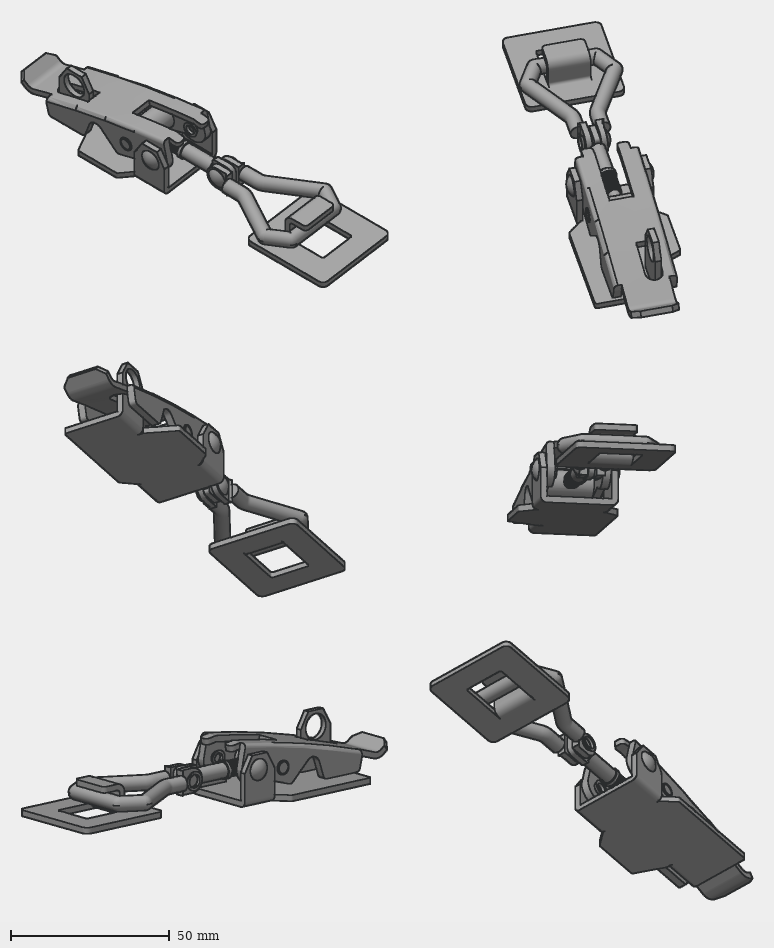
import cadquery as cq
import math


sheet = 2.0
fold_radius = 1.9
pivot_x, pivot_z = 60.4, 11.5
bolt_x, bolt_z = 48.1, 9.7

base_left = 16.0
base_half_width = 16.0
base_corner = 0.8
ear_half_width = 6.3
ear_bevel_angle = math.radians(60)
bracket_x = 60.0
bracket_shoulder_z = 11.1
bracket_left = bracket_x - ear_half_width
bracket_right = bracket_x + ear_half_width
bracket_outer = 12.5
bracket_inner = bracket_outer - sheet
taper_start = 49.5
taper_half_width = 11.1
lug_x = base_left + ear_half_width
lug_shoulder_z = 15.9
lug_right = lug_x + ear_half_width
lug_outer = -5.5
lug_inner = lug_outer + sheet
lug_hole_radius = 4.2
notch_end = 33.2

handle_half_width = 10.3
deck_half_width = 7.7
wall_left = 15.0
wall_bottom = 2.9
wall_corner = (16.0, wall_bottom)
wall_corner_radius = 1.4
wall_foot = (30.9, wall_bottom)
arch_apex = (34.4, 13.5)
wall_belly = (44.7, 3.7)
foot_radius = 1.6
arch_radius = 3.0
belly_radius = 1.6
wall_end_radius = 5.3
wall_end_angle = math.radians(-128)
edge_round = 1.4
deck_radius = 305.8
deck_centre_x, deck_centre_z = 103.2, -283.3
deck_right = 63.9
tip_x, tip_z = 1.2, 10.2
tip_bend_x = 6.0
tip_bend_radius = 2.7
tip_corner = 2.6
tab_x, tab_z = 67.7, 19.5
tab_corner = 1.4
bolt_slot_left = 45.4
bolt_slot_width = 7.9
lug_slot_radius = 2.9
lug_slot_x = 17.4
lug_slot_y = -3.3

pivot_shank_radius = 2.0
pivot_head_radius = 3.5
head_height = 1.6
tail_rim = 1.0
pivot_tail_radius = 2.6
pivot_tail_length = 1.2

barrel_radius = 4.5
journal_radius = 2.3
journal_half_length = 10.5
journal_chamfer = 0.4

rod_radius = 2.6
nose_radius = 2.0
nose_end = 55.2
thread_end = 63.1
thread_pitch = 0.8
thread_depth = 0.4
collar_end = 64.4
collar_radius = 3.0
eye_height = 8.2
clevis_x = 80.3
eye_left = clevis_x - eye_height / 2
eye_right = clevis_x + eye_height / 2
eye_left_corner = 1.0
eye_right_corner = 2.3

wire_radius = 2.51
leg_inner = 1.5
leg_outer = leg_inner + sheet
wire_start = 85.1
wire_y = leg_inner + wire_radius
flare = 0.7
flare_length = 1.0
yoke_half_width = 16.7
arm_start = 91.1
arm_bend = 4.5
arm_angle = math.radians(30)
bar_x = 117.2

clevis_shank_radius = 2.0
clevis_head_radius = 3.4
clevis_tail_radius = 3.1
clevis_tail_length = 1.1

catch_left, catch_right = 103.5, 135.9
catch_half_width = 16.0
catch_corner = 2.0
catch_bottom = 4.1
hook_half_width = 7.0
hook_left = 111.9
hook_tip = 120.6
hook_top = 15.1
bend_inner = 1.1
bend_outer = bend_inner + sheet
hook_corner = 1.4
window_right = 127.8
window_corner = 0.7


def box(x0, x1, y0, y1, z0, z1):
    """Block between two opposite corners."""
    return cq.Workplane("XY").box(x1 - x0, y1 - y0, z1 - z0, centered=False).translate((x0, y0, z0))


def rod_along_y(x, z, radius, y0, y1):
    """Cylinder parallel to Y."""
    return cq.Workplane("XZ", origin=(x, y0, z)).circle(radius).extrude(y0 - y1)


def rod_along_x(radius, x0, x1):
    """Cylinder on the bolt centre line."""
    return cq.Workplane("YZ", origin=(x0, 0, bolt_z)).circle(radius).extrude(x1 - x0)


def slab(outline, y0, y1):
    """Closed XZ outline pulled from y0 to y1."""
    return outline.extrude(y0 - y1).translate((0, y0, 0))


def ear(x, shoulder_z, y0, y1):
    """Upright flange with a bevelled top; its bottom stands on Z = 0."""
    flat = ear_half_width / 2
    top_z = shoulder_z + flat * math.tan(ear_bevel_angle)
    outline = (
        cq.Workplane("XZ")
        .moveTo(x - ear_half_width, 0)
        .lineTo(x - ear_half_width, shoulder_z)
        .lineTo(x - flat, top_z)
        .lineTo(x + flat, top_z)
        .lineTo(x + ear_half_width, shoulder_z)
        .lineTo(x + ear_half_width, 0)
        .close()
    )
    return slab(outline, y0, y1)


def edge_band(y):
    """Opposite corners of a thin box round the base edge that lies at y."""
    return (base_left - 1.4, y - 1.4, -1.4), (bracket_right, y + 1.4, sheet + 1.4)


def make_base():
    half_plate = [(base_left, base_half_width), (taper_start, base_half_width)]
    half_plate += [(bracket_left, taper_half_width), (bracket_left, bracket_inner), (bracket_right, bracket_inner)]
    other_half = [(x, -y) for x, y in reversed(half_plate[1:])]
    notch = [(notch_end, -base_half_width), (lug_right, lug_outer), (lug_right, lug_inner), (base_left, lug_inner)]
    plate = cq.Workplane("XY").polyline(half_plate + other_half + notch).close().extrude(sheet)
    outer_corners = cq.selectors.SumSelector(
        cq.selectors.BoxSelector(*edge_band(-base_half_width)),
        cq.selectors.BoxSelector(*edge_band(base_half_width)),
    )
    plate = plate.edges("|Z").edges(outer_corners).fillet(base_corner)

    lug = ear(lug_x, lug_shoulder_z, lug_outer, lug_inner)
    lug = lug.faces("<Z").edges("<Y").fillet(fold_radius)
    lug = lug.cut(rod_along_y(lug_x, lug_shoulder_z, lug_hole_radius, lug_outer, lug_inner))
    base = plate.union(lug)

    bracket = ear(bracket_x, bracket_shoulder_z, bracket_inner, bracket_outer)
    bracket = bracket.faces("<Z").edges(">Y").fillet(fold_radius)
    bracket = bracket.cut(rod_along_y(pivot_x, pivot_z, pivot_shank_radius, bracket_inner, bracket_outer))
    return base.union(bracket).union(bracket.mirror("XZ"))


def deck_point(x, depth=0.0):
    """Point of the deck arc at x, or of the concentric arc that lies deeper in the sheet."""
    radius = deck_radius - depth
    return x, deck_centre_z + math.sqrt(radius**2 - (deck_centre_x - x) ** 2)


def deck_slope(x):
    return math.asin((deck_centre_x - x) / deck_radius)


def angle_between(start, end):
    return math.atan2(end[1] - start[1], end[0] - start[0])


def below(point, angle_in, angle_out):
    """Point of the sheet's underside below a point of its top, where the slope may change."""
    mean = (angle_in + angle_out) / 2
    depth = sheet / math.cos((angle_out - angle_in) / 2)
    return point[0] + depth * math.sin(mean), point[1] - depth * math.cos(mean)


def make_deck():
    """Curved top of the handle with its turned-up tip and the tabs at its other end."""
    tip, tab = (tip_x, tip_z), (tab_x, tab_z)
    tip_bend, deck_end = deck_point(tip_bend_x), deck_point(deck_right)
    middle_x = (tip_bend_x + deck_right) / 2
    tip_angle = angle_between(tip, tip_bend)
    tab_angle = angle_between(deck_end, tab)
    lower_bend = below(tip_bend, tip_angle, deck_slope(tip_bend_x))
    lower_end = below(deck_end, deck_slope(deck_right), tab_angle)
    outline = (
        cq.Workplane("XZ")
        .moveTo(*tip)
        .lineTo(*tip_bend)
        .threePointArc(deck_point(middle_x), deck_end)
        .lineTo(*tab)
        .lineTo(*below(tab, tab_angle, tab_angle))
        .lineTo(*lower_end)
        .threePointArc(deck_point(middle_x, sheet), lower_bend)
        .lineTo(*below(tip, tip_angle, tip_angle))
        .close()
    )
    deck = slab(outline, -deck_half_width, deck_half_width)
    deck = deck.edges(nearest(tip_bend, 0)).fillet(tip_bend_radius)
    deck = deck.edges(nearest(lower_bend, 0)).fillet(tip_bend_radius + sheet)
    tip_corners = cut_corner(*tip, tip_angle)
    return deck.cut(tip_corners).cut(tip_corners.mirror("XZ"))


def nearest(point, y):
    """Picks the edge whose middle lies closest to an XZ point at the given y."""
    return cq.selectors.NearestToPointSelector((point[0], y, point[1]))


def cut_corner(x, z, angle):
    """Triangular prism that bevels the +Y corner of the tip, square to the sloping sheet."""
    plane = cq.Plane(
        origin=(x, deck_half_width, z),
        xDir=(math.cos(angle), 0, math.sin(angle)),
        normal=(-math.sin(angle), 0, math.cos(angle)),
    )
    triangle = [(0, 0), (tip_corner, 0), (0, -tip_corner)]
    return cq.Workplane(plane).polyline(triangle).close().extrude(2 * sheet, both=True)


def wall_end_point(angle):
    """Point on the arc of the wall end, at an angle from +X round the pivot."""
    return pivot_x + wall_end_radius * math.cos(angle), pivot_z + wall_end_radius * math.sin(angle)


def make_wall():
    """Side wall on the +Y side, rounded along its top edge."""
    top_middle = deck_point((wall_left + deck_right) / 2)
    outline = (
        cq.Workplane("XZ")
        .moveTo(*deck_point(wall_left))
        .threePointArc(top_middle, deck_point(deck_right))
        .lineTo(*wall_end_point(0))
        .threePointArc(wall_end_point(wall_end_angle / 2), wall_end_point(wall_end_angle))
        .lineTo(*wall_belly)
        .lineTo(*arch_apex)
        .lineTo(*wall_foot)
        .lineTo(*wall_corner)
        .lineTo(*deck_point(wall_left, sheet))
        .close()
    )
    wall = slab(outline, deck_half_width, handle_half_width)
    roundings = [
        (arch_apex, arch_radius),
        (wall_belly, belly_radius),
        (wall_foot, foot_radius),
        (wall_corner, wall_corner_radius),
    ]
    for corner, radius in roundings:
        wall = wall.edges("|Y").edges(nearest(corner, deck_half_width)).fillet(radius)
    return wall.edges(nearest(top_middle, handle_half_width)).fillet(edge_round)


def make_handle():
    wall = make_wall()
    handle = make_deck().union(wall).union(wall.mirror("XZ"))
    bolt_slot = box(0, tab_x, -bolt_slot_width / 2, bolt_slot_width / 2, -2 * sheet, 4 * sheet)
    bolt_slot = bolt_slot.rotate((0, 0, 0), (0, 1, 0), -math.degrees(deck_slope(bolt_slot_left)))
    slot_x, slot_z = deck_point(bolt_slot_left)
    bolt_slot = bolt_slot.translate((slot_x, 0, slot_z))
    lug_slot = (
        cq.Workplane("XY")
        .moveTo(lug_right, lug_slot_y + lug_slot_radius)
        .lineTo(lug_slot_x, lug_slot_y + lug_slot_radius)
        .threePointArc((lug_slot_x - lug_slot_radius, lug_slot_y), (lug_slot_x, lug_slot_y - lug_slot_radius))
        .lineTo(lug_right, lug_slot_y - lug_slot_radius)
        .close()
        .extrude(tab_z)
    )
    handle = handle.cut(bolt_slot).cut(lug_slot)
    tab_ends = cq.selectors.BoxSelector(
        (tab_x - sheet / 2, -handle_half_width, 0),
        (tab_x + sheet / 2, handle_half_width, tab_z + sheet),
    )
    handle = handle.edges(tab_ends).edges("not |Y").fillet(tab_corner)
    pivot_hole = rod_along_y(pivot_x, pivot_z, pivot_shank_radius, -handle_half_width, handle_half_width)
    bolt_hole = rod_along_y(bolt_x, bolt_z, journal_radius, -handle_half_width, handle_half_width)
    return handle.cut(pivot_hole).cut(bolt_hole)


def make_rivet(x, z, grip_start, grip_end, shank, head, tail, tail_length):
    """Domed rivet on a Y axis: the head lies at grip_start, the flared tail beyond grip_end."""
    away = math.copysign(1, grip_start - grip_end)
    head_top = grip_start + away * head_height
    tail_tip = grip_end - away * tail_length
    profile = (
        cq.Workplane("XY")
        .moveTo(0, head_top)
        .threePointArc(dome_point(head, grip_start, away), (head, grip_start))
        .lineTo(shank, grip_start)
        .lineTo(shank, grip_end)
        .lineTo(tail, tail_tip)
        .lineTo(tail - tail_rim, tail_tip)
        .lineTo(tail - tail_rim, grip_end)
        .lineTo(0, grip_end)
        .close()
    )
    return profile.revolve(360, (0, 0, 0), (0, 1, 0)).translate((x, 0, z))


def dome_point(head, base_y, away):
    """Point half-way along the arc of a rivet dome."""
    dome_radius = (head**2 + head_height**2) / (2 * head_height)
    half_angle = math.asin(head / dome_radius) / 2
    centre_y = base_y + away * (head_height - dome_radius)
    return dome_radius * math.sin(half_angle), centre_y + away * dome_radius * math.cos(half_angle)


def make_trunnion():
    barrel = rod_along_y(bolt_x, bolt_z, barrel_radius, -deck_half_width, deck_half_width)
    journals = rod_along_y(bolt_x, bolt_z, journal_radius, -journal_half_length, journal_half_length)
    journals = journals.faces("<Y or >Y").chamfer(journal_chamfer)
    socket = rod_along_x(nose_radius, bolt_x, bolt_x + barrel_radius)
    return barrel.union(journals).cut(socket)


def make_bolt():
    bolt = rod_along_x(nose_radius, bolt_x, nose_end)
    bolt = bolt.union(rod_along_x(rod_radius, nose_end, eye_left))
    bolt = bolt.union(rod_along_x(collar_radius, thread_end, collar_end))
    for turn in range(int((thread_end - nose_end) / thread_pitch)):
        start = nose_end + (turn + 0.5) * thread_pitch
        groove = rod_along_x(rod_radius, start, start + thread_pitch / 2)
        groove = groove.cut(rod_along_x(rod_radius - thread_depth, start, start + thread_pitch / 2))
        bolt = bolt.cut(groove)
    low, high = bolt_z - eye_height / 2, bolt_z + eye_height / 2
    eye = box(eye_left, eye_right, -sheet / 2, sheet / 2, low, high)
    eye = eye.edges("|Y and <X").fillet(eye_left_corner)
    eye = eye.edges("|Y and >X").fillet(eye_right_corner)
    hole = rod_along_y(clevis_x, bolt_z, clevis_shank_radius, -sheet, sheet)
    return bolt.union(eye).cut(hole)


def make_yoke():
    bend_end = (
        arm_start + arm_bend * math.sin(arm_angle),
        wire_y + arm_bend * (1 - math.cos(arm_angle)),
    )
    bend_middle = (
        arm_start + arm_bend * math.sin(arm_angle / 2),
        wire_y + arm_bend * (1 - math.cos(arm_angle / 2)),
    )
    shoulder_y = yoke_half_width - wire_radius
    shoulder_x = bend_end[0] + (shoulder_y - bend_end[1]) / math.tan(arm_angle)
    bar_end_y = shoulder_y - (bar_x - shoulder_x) * math.tan(arm_angle)
    path = (
        cq.Workplane("XY", origin=(0, 0, bolt_z))
        .moveTo(wire_start, wire_y)
        .lineTo(arm_start, wire_y)
        .threePointArc(bend_middle, bend_end)
        .lineTo(shoulder_x, shoulder_y)
        .lineTo(bar_x, bar_end_y)
        .lineTo(bar_x, 0)
    )
    section = cq.Workplane("YZ", origin=(wire_start, wire_y, bolt_z)).circle(wire_radius)
    half = section.sweep(path, transition="round")
    leg = (
        cq.Workplane("XZ")
        .moveTo(clevis_x, bolt_z + eye_height / 2)
        .lineTo(wire_start, bolt_z + eye_height / 2)
        .lineTo(wire_start, bolt_z - eye_height / 2)
        .lineTo(clevis_x, bolt_z - eye_height / 2)
        .threePointArc((clevis_x - eye_height / 2, bolt_z), (clevis_x, bolt_z + eye_height / 2))
        .close()
    )
    leg = slab(leg, leg_inner, leg_outer)
    half = half.union(leg)
    hole = rod_along_y(clevis_x, bolt_z, clevis_shank_radius, leg_inner, leg_outer)
    wedge = (
        cq.Workplane("XY", origin=(0, 0, bolt_z - eye_height / 2))
        .polyline([(wire_start - flare_length, leg_outer), (wire_start, leg_outer + flare), (wire_start, leg_outer)])
        .close()
        .extrude(eye_height)
    )
    half = half.union(wedge).cut(hole)
    return half.union(half.mirror("XZ"))


def make_catch():
    plate = box(catch_left, catch_right, -catch_half_width, catch_half_width, catch_bottom, catch_bottom + sheet)
    plate = plate.edges("|Z").fillet(catch_corner)
    window = box(hook_left, window_right, -hook_half_width, hook_half_width, catch_bottom, catch_bottom + sheet)
    window = window.edges("|Z and >X").fillet(window_corner)
    plate_top = catch_bottom + sheet
    hook_right = hook_left + sheet
    hook = (
        cq.Workplane("XZ")
        .moveTo(hook_left - bend_inner, catch_bottom)
        .radiusArc((hook_right, catch_bottom + bend_outer), -bend_outer)
        .lineTo(hook_right, hook_top - bend_outer)
        .radiusArc((hook_right + bend_inner, hook_top - sheet), bend_inner)
        .lineTo(hook_tip, hook_top - sheet)
        .lineTo(hook_tip, hook_top)
        .lineTo(hook_left + bend_outer, hook_top)
        .radiusArc((hook_left, hook_top - bend_outer), -bend_outer)
        .lineTo(hook_left, plate_top + bend_inner)
        .radiusArc((hook_left - bend_inner, plate_top), bend_inner)
        .close()
    )
    hook = slab(hook, -hook_half_width, hook_half_width)
    hook = hook.edges("|Z and >X").fillet(hook_corner)
    gap = box(hook_left - bend_inner, hook_left, -hook_half_width, hook_half_width, catch_bottom, plate_top)
    return plate.cut(window).cut(gap).union(hook)


base = make_base()
handle = make_handle()
pivot_rivets = [
    make_rivet(
        pivot_x, pivot_z, side * bracket_outer, side * deck_half_width,
        pivot_shank_radius, pivot_head_radius, pivot_tail_radius, pivot_tail_length,
    )
    for side in (-1, 1)
]
trunnion = make_trunnion()
draw_bolt = make_bolt()
yoke = make_yoke()
clevis_rivet = make_rivet(
    clevis_x, bolt_z, -leg_outer, leg_outer,
    clevis_shank_radius, clevis_head_radius, clevis_tail_radius, clevis_tail_length,
)
catch = make_catch()

result = cq.Compound.makeCompound([
    base.val(),
    handle.val(),
    *[rivet.val() for rivet in pivot_rivets],
    trunnion.val(),
    draw_bolt.val(),
    yoke.val(),
    clevis_rivet.val(),
    catch.val(),
])